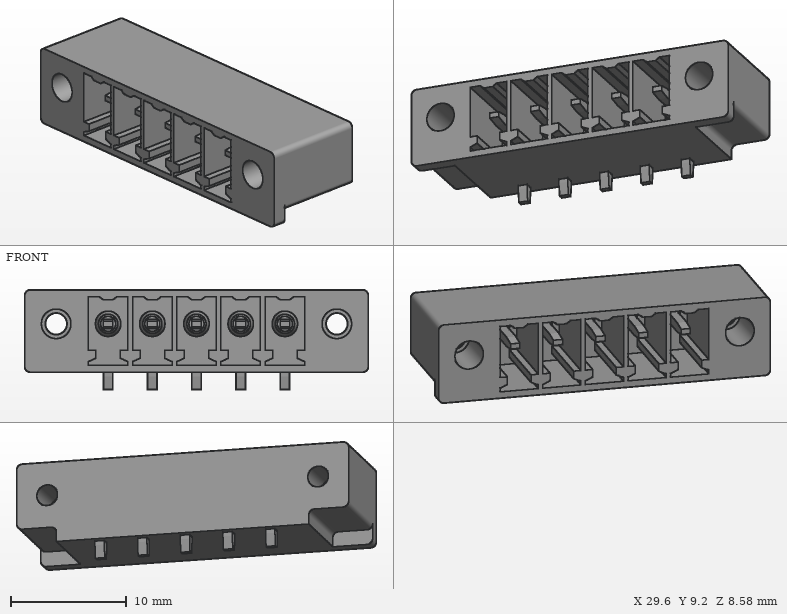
import cadquery as cq


LENGTH = 29.65
DEPTH = 9.2
HEIGHT = 7.1
CORNER_RADIUS = 0.5

PIN_COUNT = 5
ROW_SPAN = 15.23
PITCH = ROW_SPAN / (PIN_COUNT - 1)
PIN_XS = [i * PITCH - ROW_SPAN / 2 for i in range(PIN_COUNT)]
AXIS_Z = 4.18

POCKET_WIDTH = 3.4
POCKET_DEPTH = 7.1
POCKET_WALL = 0.6
POCKET_BOTTOM = POCKET_WALL
POCKET_TOP = HEIGHT - POCKET_WALL
RIB_PROJECTION = 0.65
RIB_TOP = 1.9
RIB_EDGE_BOTTOM = 1.22
RIB_ROOT_BOTTOM = 0.92
KEY_ROOT_WIDTH = 1.55
KEY_TIP_WIDTH = 0.83
KEY_HEIGHT = 0.27

BOSS_BASE_RADIUS = 1.1
BOSS_SHOULDER_RADIUS = 0.83
BOSS_TIP_RADIUS = 0.65
BOSS_SHOULDER_HEIGHT = 0.83
BOSS_TIP_HEIGHT = 1.0

HOLE_SPACING = 24.2
HOLE_DIAMETER = 1.85
BORE_DIAMETER = 2.55
BORE_DEPTH = DEPTH / 2

FLANGE_THICKNESS = 1.25
RELIEF_WIDTH = 3.55
RELIEF_HEIGHT = 1.3
RELIEF_RADIUS = 0.5

PIN_SIZE = 0.83
PIN_TIP_Y = 1.3
PIN_TIP_HEIGHT = 0.47
PIN_TIP_TAPER = 1.3
LEG_LENGTH = 1.48
LEG_TAPER_START = 0.35
LEG_END_SIZE = 0.53
LEG_BACK_GAP = 0.77
LEG_BACK_Y = DEPTH - LEG_BACK_GAP
LEG_FRONT_Y = LEG_BACK_Y - PIN_SIZE


def front_plane(y):
    """Plane at depth y, seen from the front: local x is X, local y is Z, normal is -Y."""
    return cq.Workplane("XZ", origin=(0, y, 0))


def make_block():
    block = cq.Workplane("XY").box(LENGTH, DEPTH, HEIGHT, centered=(True, False, False))
    return block.edges("|Y").fillet(CORNER_RADIUS)


def make_pocket(x):
    """Pocket volume: a rectangle narrowed by a rib on each side and by the ceiling key."""
    half = POCKET_WIDTH / 2
    rib_edge = half - RIB_PROJECTION
    right_side = [
        (half, POCKET_BOTTOM),
        (half, RIB_ROOT_BOTTOM),
        (rib_edge, RIB_EDGE_BOTTOM),
        (rib_edge, RIB_TOP),
        (half, RIB_TOP),
        (half, POCKET_TOP),
        (KEY_ROOT_WIDTH / 2, POCKET_TOP),
        (KEY_TIP_WIDTH / 2, POCKET_TOP - KEY_HEIGHT),
    ]
    left_side = [(-px, pz) for px, pz in reversed(right_side)]
    outline = front_plane(0).polyline(right_side + left_side).close()
    return outline.extrude(-POCKET_DEPTH).translate((x, 0, 0))


def make_boss(x):
    """Two stacked cones that narrow from the pocket's back wall towards the front."""
    half_profile = [
        (0, POCKET_DEPTH),
        (BOSS_BASE_RADIUS, POCKET_DEPTH),
        (BOSS_SHOULDER_RADIUS, POCKET_DEPTH - BOSS_SHOULDER_HEIGHT),
        (BOSS_TIP_RADIUS, POCKET_DEPTH - BOSS_TIP_HEIGHT),
        (0, POCKET_DEPTH - BOSS_TIP_HEIGHT),
    ]
    boss = cq.Workplane("XY").polyline(half_profile).close().revolve(360, (0, 0), (0, 1))
    return boss.translate((x, 0, AXIS_Z))


def make_mounting_hole(x):
    hole = front_plane(0).center(x, AXIS_Z).circle(HOLE_DIAMETER / 2).extrude(-DEPTH)
    bore = front_plane(0).center(x, AXIS_Z).circle(BORE_DIAMETER / 2).extrude(-BORE_DEPTH)
    return hole.union(bore)


def make_left_relief():
    """Relief at the -X end: rounded out at its outer edge, rounded in at its inner corner."""
    outer_x = -LENGTH / 2
    inner_x = outer_x + RELIEF_WIDTH
    edge_top = RELIEF_HEIGHT + RELIEF_RADIUS
    root_bottom = RELIEF_HEIGHT - RELIEF_RADIUS
    return (
        front_plane(FLANGE_THICKNESS)
        .moveTo(outer_x, 0)
        .lineTo(outer_x, edge_top)
        .radiusArc((outer_x + RELIEF_RADIUS, RELIEF_HEIGHT), -RELIEF_RADIUS)
        .lineTo(inner_x - RELIEF_RADIUS, RELIEF_HEIGHT)
        .radiusArc((inner_x, root_bottom), RELIEF_RADIUS)
        .lineTo(inner_x, 0)
        .close()
        .extrude(FLANGE_THICKNESS - DEPTH)
    )


def make_pin(x):
    """Flat-sided L: a bar along Y with a wedge tip, bent down into a tapered leg."""
    bar_top = AXIS_Z + PIN_SIZE / 2
    bar_bottom = AXIS_Z - PIN_SIZE / 2
    bar_start = PIN_TIP_Y + PIN_TIP_TAPER
    leg_inset = (PIN_SIZE - LEG_END_SIZE) / 2
    profile = [
        (PIN_TIP_Y, AXIS_Z - PIN_TIP_HEIGHT / 2),
        (PIN_TIP_Y, AXIS_Z + PIN_TIP_HEIGHT / 2),
        (bar_start, bar_top),
        (LEG_BACK_Y, bar_top),
        (LEG_BACK_Y, -LEG_TAPER_START),
        (LEG_BACK_Y - leg_inset, -LEG_LENGTH),
        (LEG_FRONT_Y + leg_inset, -LEG_LENGTH),
        (LEG_FRONT_Y, -LEG_TAPER_START),
        (LEG_FRONT_Y, bar_bottom),
        (bar_start, bar_bottom),
    ]
    pin = cq.Workplane("YZ").polyline(profile).close().extrude(PIN_SIZE / 2, both=True)
    return pin.translate((x, 0, 0))


def make_housing(pins):
    housing = make_block()
    for x in PIN_XS:
        housing = housing.cut(make_pocket(x)).union(make_boss(x))
    for x in (-HOLE_SPACING / 2, HOLE_SPACING / 2):
        housing = housing.cut(make_mounting_hole(x))
    left_relief = make_left_relief()
    housing = housing.cut(left_relief).cut(left_relief.mirror("YZ"))
    for pin in pins:
        housing = housing.cut(pin)
    return housing


pins = [make_pin(x) for x in PIN_XS]
housing = make_housing(pins)

result = cq.Compound.makeCompound([housing.val(), *[pin.val() for pin in pins]])